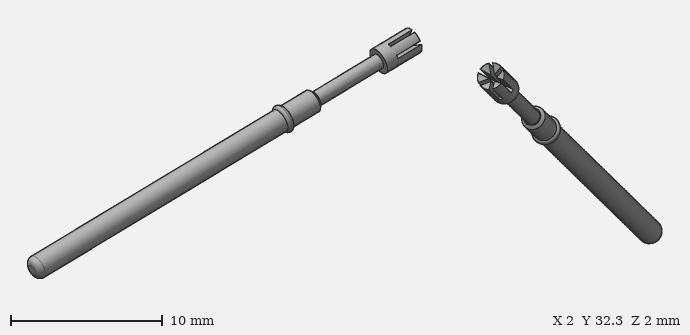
import cadquery as cq

length = 32.3
head_diameter = 1.87
head_length = 2.95
stem_diameter = 1.05
barrel_diameter = 1.65
barrel_length = 24.0
mouth_chamfer = 0.23
rear_radius = 0.45
ring_diameter = 2.0
ring_section_radius = 0.25
ring_distance = 11.05
slot_count = 6
slot_width = 0.25
slot_depth = 2.0
tip_recess_depth = 0.55

front_y = length / 2
rear_y = -length / 2
head_back_y = front_y - head_length
mouth_y = rear_y + barrel_length
ring_y = front_y - ring_distance


def cylinder(diameter, start_y, end_y):
    """Round bar on the Y axis between two positions."""
    start_plane = cq.Workplane("XZ", origin=(0, start_y, 0))
    return start_plane.circle(diameter / 2).extrude(start_y - end_y)


def make_barrel():
    """Barrel with a rounded closed end and a chamfered mouth."""
    barrel = cylinder(barrel_diameter, rear_y, mouth_y)
    barrel = barrel.faces("<Y").edges().fillet(rear_radius)
    return barrel.faces(">Y").edges().chamfer(mouth_chamfer)


def make_ring():
    """Round bead that stands out around the barrel."""
    section_center = ring_diameter / 2 - ring_section_radius
    section = cq.Workplane("XY").center(section_center, ring_y).circle(ring_section_radius)
    return section.revolve(360, (-section_center, 0), (-section_center, 1))


def make_tip_recess():
    """Shallow cone that hollows the crown end, leaving a sharp rim."""
    half_section = (
        cq.Workplane("XY")
        .moveTo(0, front_y)
        .lineTo(head_diameter / 2, front_y)
        .lineTo(0, front_y - tip_recess_depth)
        .close()
    )
    return half_section.revolve(360, (0, 0), (0, 1))


def make_head():
    """Crown head with a hollowed end, split into equal segments by radial slots."""
    head = cylinder(head_diameter, head_back_y, front_y).cut(make_tip_recess())
    slot = (
        cq.Workplane("XY")
        .box(slot_width, slot_depth, head_diameter / 2, centered=(True, False, False))
        .translate((0, front_y - slot_depth, 0))
    )
    for index in range(slot_count):
        angle = index * 360 / slot_count
        head = head.cut(slot.rotate((0, 0, 0), (0, 1, 0), angle))
    return head


stem = cylinder(stem_diameter, mouth_y, head_back_y)
result = make_barrel().union(make_ring()).union(stem).union(make_head())